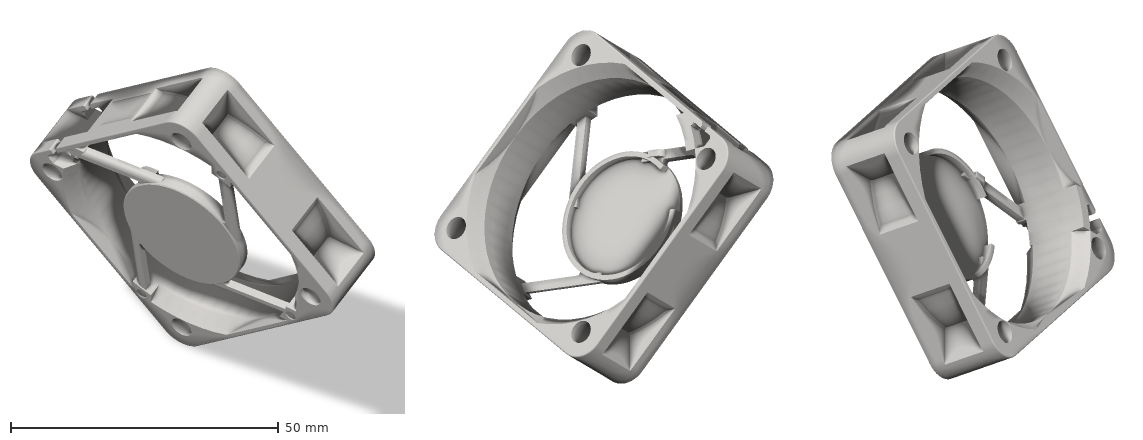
import cadquery as cq
import math


height = 66.6
frame_side = 50.0
frame_depth = 15.2
flange_thickness = 3.0
outer_edge_radius = 0.25

duct_radius = 23.95
duct_outer_radius = frame_side / 2
flare_radius = 25.95
flare_depth = 3.0
duct_root_slope = 0.3

hole_count = 4
hole_radius = 2.2
hole_offset = 28.3
corner_web_width = 5.4
pad_reach = 22.4

hub_radius = 12.8
hub_face_thickness = 1.05
hub_rim_depth = 2.8
hub_rim_wall = 1.0
hub_edge_chamfer = 0.2
rim_gap_start = 143.0
rim_gap_end = 188.0

strut_count = 4
strut_angle = 7.0
strut_width = 1.9
strut_length = 19.3
strut_depth = 1.65
strut_side_depth = 0.5
strut_recess = 0.25
strut_root_fillet = 0.5

lead_tab_width = 1.3
lead_tab_length = 3.3
lead_tab_end = 17.2
lead_tab_depth = 2.0
lead_tab_radius = 1.3

notch_top = 7.7
notch_duct_drop = 2.3

seat_near = 6.65
seat_far = 10.65
seat_mark_x = 8.7
seat_mark_z = 23.9
seat_mark_radius = 1.05
seat_mark_depth = 0.25

label_length = 11.8
label_width = 7.0
label_depth = 0.1

half_height = height / 2
half_side = frame_side / 2
front_y = -frame_depth / 2
groove_depth = frame_depth - 2 * flange_thickness
duct_root_radius = duct_outer_radius + duct_root_slope
corner_reach = half_side * math.sqrt(2)
corner_radius = (corner_reach - half_height) / (math.sqrt(2) - 1)
web_half = corner_web_width / 2


def plane_at(depth):
    """XZ sketch plane at a depth behind the front face."""
    return cq.Workplane("XZ", origin=(0, front_y + depth, 0))


def disc(radius, depth, length):
    return plane_at(depth).circle(radius).extrude(-length)


def block(x_range, z_range, depth, length):
    x0, x1 = x_range
    z0, z1 = z_range
    return (
        plane_at(depth)
        .center((x0 + x1) / 2, (z0 + z1) / 2)
        .rect(x1 - x0, z1 - z0)
        .extrude(-length)
    )


def diamond(side, depth, length):
    return plane_at(depth).transformed(rotate=(0, 0, 45)).rect(side, side).extrude(-length)


def quarter_turn(shape, index):
    return shape.rotate((0, 0, 0), (0, 1, 0), 90 * index)


def cone(depth_a, radius_a, depth_b, radius_b):
    """Solid cone frustum on the Y axis."""
    return (
        cq.Workplane("XY")
        .moveTo(0, front_y + depth_a)
        .lineTo(radius_a, front_y + depth_a)
        .lineTo(radius_b, front_y + depth_b)
        .lineTo(0, front_y + depth_b)
        .close()
        .revolve(360, (0, 0, 0), (0, 1, 0))
    )


notch_outline = [
    (-27.95, web_half),
    (-29.15, 3.85),
    (-29.15, 4.6),
    (-27.95, 5.7),
    (-28.6, 6.4),
    (-29.6, 6.4),
    (-29.6, 8.0),
    (-27.4, 8.0),
    (-27.4, 7.05),
    (-27.0, 6.65),
    (-25.8, 7.9),
    (-25.4, 8.1),
    (-25.0, notch_top),
    (-22.65, notch_top),
    (-22.65, web_half),
]


def frame_body():
    body = diamond(frame_side, 0, frame_depth).edges("|Y").fillet(corner_radius)
    groove = diamond(2 * frame_side, flange_thickness, groove_depth)
    groove = groove.cut(block((-pad_reach, pad_reach), (-pad_reach, pad_reach), 0, frame_depth))
    groove = groove.cut(block((-web_half, web_half), (-height, height), 0, frame_depth))
    groove = groove.cut(block((-height, height), (-web_half, web_half), 0, frame_depth))
    groove = groove.cut(disc(duct_outer_radius, 0, frame_depth))
    for face_depth, step in (
        (flange_thickness, duct_root_slope),
        (frame_depth - flange_thickness, -duct_root_slope),
    ):
        groove = groove.cut(cone(face_depth, duct_root_radius, face_depth + step, duct_outer_radius))
    body = body.faces("<Y or >Y").edges().fillet(outer_edge_radius)
    return body.cut(groove)


def flares():
    front = cone(0, flare_radius, flare_depth, duct_radius)
    rear = cone(frame_depth, flare_radius, frame_depth - flare_depth, duct_radius)
    both = front.union(rear).intersect(diamond(2 * duct_radius, 0, frame_depth))
    for index in range(strut_count):
        seat = block((seat_near, seat_far), (0, half_height), 0, flare_depth)
        both = both.cut(quarter_turn(seat, index))
    return both.cut(block((-half_height, 0), (web_half, seat_far), 0, frame_depth))


def mounting_holes():
    return (
        plane_at(0)
        .polarArray(hole_offset, 0, 360, hole_count)
        .circle(hole_radius)
        .extrude(-frame_depth)
    )


def lead_notch(wall_radius, depth):
    """Notch through one flange, stopping at the duct wall."""
    notch = plane_at(depth).polyline(notch_outline).close().extrude(-flange_thickness)
    return notch.cut(disc(wall_radius, 0, frame_depth))


def duct_edge_drop():
    """Lowers the front edge of the duct beside the notch."""
    return block((-flare_radius, 0), (web_half, notch_top), 0, notch_duct_drop)


def label_field():
    return (
        cq.Workplane("XY")
        .box(label_length, label_width, 2 * label_depth)
        .translate((0, 0, half_side))
        .rotate((0, 0, 0), (0, 1, 0), -45)
    )


def hub():
    body = disc(hub_radius, 0, hub_rim_depth).faces("<Y").edges().chamfer(hub_edge_chamfer)
    inside = disc(hub_radius - hub_rim_wall, hub_face_thickness, hub_rim_depth)
    start = math.radians(rim_gap_start)
    end = math.radians(rim_gap_end)
    reach = 2 * hub_radius
    gap = (
        plane_at(hub_face_thickness)
        .lineTo(reach * math.cos(start), reach * math.sin(start))
        .lineTo(reach * math.cos(end), reach * math.sin(end))
        .close()
        .extrude(-hub_rim_depth)
    )
    return body.cut(inside).cut(gap)


def strut():
    """Top strut: flat front on the side facing the axis, rounded on the outer side."""
    half = strut_width / 2
    arc_depth = strut_depth - strut_side_depth
    arc_middle = (half * math.sqrt(0.5), arc_depth * (1 - math.sqrt(0.5)))
    return (
        cq.Workplane("XY")
        .moveTo(-half, 0)
        .lineTo(0, 0)
        .threePointArc(arc_middle, (half, arc_depth))
        .lineTo(half, strut_depth)
        .lineTo(-half, strut_depth)
        .close()
        .extrude(-strut_length)
    )


def place_on_top_seat(shape):
    """Move a shape hanging down from the origin onto the line of the top strut."""
    return shape.rotate((0, 0, 0), (0, 1, 0), -strut_angle).translate(
        (seat_mark_x, front_y + strut_recess, seat_mark_z)
    )


def lead_tab():
    """Tab on the back of the left strut, beside the opening in the hub rim."""
    tab = (
        cq.Workplane("XY")
        .box(lead_tab_width, lead_tab_depth, lead_tab_length, centered=(True, False, False))
        .translate((0, strut_depth / 2, -lead_tab_end))
        .edges(">Y and >Z")
        .fillet(lead_tab_radius)
    )
    return quarter_turn(place_on_top_seat(tab), -1)


def is_strut_root(edge):
    """True for the inner corners where the struts leave the hub."""
    centre = edge.Center()
    on_rim = abs(math.hypot(centre.x, centre.z) - hub_radius) < strut_root_fillet / 4
    on_diagonal = abs(abs(centre.x) - abs(centre.z)) < strut_width
    return on_rim and on_diagonal


def hub_with_struts():
    body = hub()
    for index in range(strut_count):
        body = body.union(quarter_turn(place_on_top_seat(strut()), index))
    body = body.edges("|Y").filter(is_strut_root).fillet(strut_root_fillet)
    return body.union(lead_tab())


def seat_marks():
    mark = plane_at(0).center(seat_mark_x, seat_mark_z).circle(seat_mark_radius).extrude(-seat_mark_depth)
    marks = mark
    for index in range(1, strut_count):
        marks = marks.union(quarter_turn(mark, index))
    return marks


result = (
    frame_body()
    .cut(disc(duct_radius, 0, frame_depth))
    .cut(flares())
    .cut(mounting_holes())
    .cut(lead_notch(duct_root_radius, 0))
    .cut(lead_notch(flare_radius, frame_depth - flange_thickness))
    .cut(duct_edge_drop())
    .cut(label_field())
    .union(hub_with_struts())
    .cut(seat_marks())
)